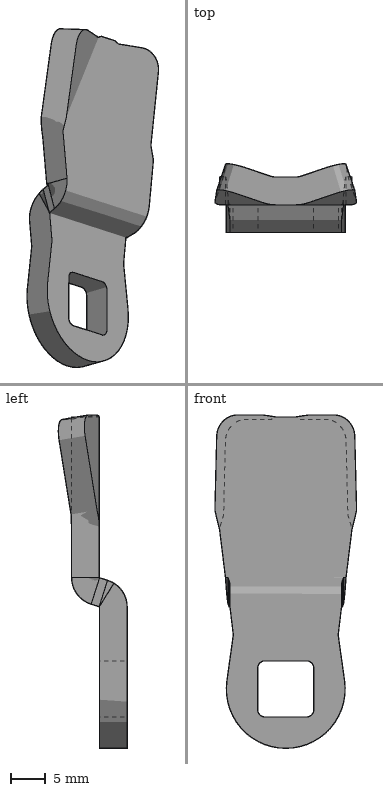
import cadquery as cq
import math

thickness = 4.0

eye_radius = 8.53
hole_side = 8.0
hole_corner_radius = 1.0
neck_half_width = 7.53
neck_z = 7.74
lower_bend_z = 11.72
lower_bend_half = 8.01

offset_angle = math.radians(72.4)
taper_end_angle = math.radians(58.0)
offset_inner_radius = 0.05
neutral_factor = 0.6
offset_stations = 9
trim_margin = 1.0

upper_bend_half = 8.66
side_slope = math.tan(math.radians(7.0))
plate_top_z = 39.0
wing_angle = math.radians(20.7)
wing_inner_radius = 1.1
wing_stations = 5
wing_line_lean = math.atan(0.5)
wing_half_width = 10.17
wing_bottom_z = 25.6
wing_top_z = 39.28
wing_top_half_width = 9.84
wing_corner_radius = 3.0

offset_outer_radius = offset_inner_radius + thickness
bend_radii = (offset_inner_radius, offset_outer_radius)
trim_radii = (offset_inner_radius / 2, offset_outer_radius + trim_margin)
axis_gap = offset_inner_radius + offset_outer_radius
web_length = (axis_gap * math.cos(offset_angle) - 2 * offset_inner_radius) / math.sin(offset_angle)
upper_bend_z = lower_bend_z + axis_gap * math.sin(offset_angle) + web_length * math.cos(offset_angle)
bend_length = offset_angle * (offset_inner_radius + neutral_factor * thickness)

web_high_half = upper_bend_half - bend_length * side_slope
web_low_half = web_high_half - web_length * side_slope

wing_outer_radius = wing_inner_radius + thickness
line_x, line_z = -math.sin(wing_line_lean), math.cos(wing_line_lean)
fold_slope = line_x / line_z
out_x, out_z = line_z, -line_x
strip_width = wing_outer_radius * math.sin(wing_angle)
fold_x = wing_half_width - strip_width * out_x
fold_z = wing_bottom_z - strip_width * out_z

fold_end_z = (fold_x - fold_z * fold_slope - upper_bend_half + upper_bend_z * side_slope) / (
    side_slope - fold_slope
)
fold_end_x = fold_x + (fold_end_z - fold_z) * fold_slope
fold_top_x = fold_x + (plate_top_z - fold_z) * fold_slope

wing_root_top_x = wing_half_width + (wing_top_z - wing_bottom_z) * fold_slope


def polygon(points):
    return cq.Wire.makePolygon([cq.Vector(*p) for p in points], close=True)


def lower_plate():
    distance = math.hypot(neck_half_width, neck_z)
    tangent_angle = math.atan2(neck_z, neck_half_width) - math.acos(eye_radius / distance)
    tangent_x = eye_radius * math.cos(tangent_angle)
    tangent_z = eye_radius * math.sin(tangent_angle)
    plate = (
        cq.Workplane("XZ")
        .moveTo(-lower_bend_half, lower_bend_z)
        .lineTo(-neck_half_width, neck_z)
        .lineTo(-tangent_x, tangent_z)
        .threePointArc((0, -eye_radius), (tangent_x, tangent_z))
        .lineTo(neck_half_width, neck_z)
        .lineTo(lower_bend_half, lower_bend_z)
        .close()
        .extrude(thickness)
    )
    hole = (
        cq.Workplane("XZ")
        .rect(hole_side, hole_side)
        .extrude(thickness)
        .edges("|Y")
        .fillet(hole_corner_radius)
    )
    return plate.cut(hole)


def upper_plate():
    return (
        cq.Workplane("XZ")
        .polyline(
            [
                (-upper_bend_half, upper_bend_z),
                (upper_bend_half, upper_bend_z),
                (fold_end_x, fold_end_z),
                (fold_top_x, plate_top_z),
                (-fold_top_x, plate_top_z),
                (-fold_end_x, fold_end_z),
            ]
        )
        .close()
        .extrude(-thickness)
    )


def bend_edge(axis_y, axis_z, side, radius, angle, half_width):
    """Ends of a straight line across a bend; side is +1 for the upper bend and -1 for the lower."""
    y = axis_y + side * radius * math.cos(angle)
    z = axis_z - side * radius * math.sin(angle)
    return [(-half_width, y, z), (half_width, y, z)]


def bend_section(axis_y, axis_z, side, angle, half_width, radii=bend_radii):
    """Rectangle across a bend, listed from its back edge to its front edge."""
    inner = bend_edge(axis_y, axis_z, side, radii[0], angle, half_width)
    outer = bend_edge(axis_y, axis_z, side, radii[1], angle, half_width)
    front, back = (inner, outer) if side > 0 else (outer, inner)
    return polygon(back + front[::-1])


def offset_bend(axis, start_angle, end_angle, start_half, end_half, radii=bend_radii):
    """Part of a bend whose width runs evenly from one angle to another."""
    sections = []
    for i in range(offset_stations):
        share = i / (offset_stations - 1)
        half_width = start_half + share * (end_half - start_half)
        angle = start_angle + share * (end_angle - start_angle)
        sections.append(bend_section(*axis, angle, half_width, radii))
    return cq.Workplane(cq.Solid.makeLoft(sections))


def lower_bend(axis):
    """Bend of one width, trimmed so that its sides run straight and then widen towards the web."""
    bend = offset_bend(axis, 0, offset_angle, web_low_half, web_low_half)
    straight = offset_bend(axis, 0, taper_end_angle, lower_bend_half, lower_bend_half, trim_radii)
    tapered = offset_bend(axis, taper_end_angle, offset_angle, lower_bend_half, web_low_half, trim_radii)
    return bend.intersect(straight.union(tapered))


def offset_step():
    """The two opposite bends and the sloping web between them."""
    upper_axis = (-offset_inner_radius, upper_bend_z, 1)
    lower_axis = (offset_inner_radius, lower_bend_z, -1)
    upper = offset_bend(upper_axis, 0, offset_angle, upper_bend_half, web_high_half)
    lower = lower_bend(lower_axis)
    web_ends = [
        bend_section(*upper_axis, offset_angle, web_high_half),
        bend_section(*lower_axis, offset_angle, web_low_half),
    ]
    web = cq.Workplane(cq.Solid.makeLoft(web_ends, True))
    return upper.union(web).union(lower)


def along_fold(x, z):
    """Position measured along the bend line from the fold point."""
    return (x - fold_x) * line_x + (z - fold_z) * line_z


def wing_point(along, angle, radius):
    """Point of the right-hand wing bend at a bend angle and a distance from its axis."""
    across = radius * math.sin(angle)
    return (
        fold_x + along * line_x + across * out_x,
        wing_outer_radius - radius * math.cos(angle),
        fold_z + along * line_z + across * out_z,
    )


def wing_bend():
    plate_low = along_fold(fold_end_x, fold_end_z)
    plate_high = along_fold(fold_top_x, plate_top_z)
    wing_low = along_fold(wing_half_width, wing_bottom_z)
    wing_high = along_fold(wing_root_top_x, wing_top_z)
    sections = []
    for i in range(wing_stations):
        share = i / (wing_stations - 1)
        angle = share * wing_angle
        low = plate_low + share * (wing_low - plate_low)
        high = plate_high + share * (wing_high - plate_high)
        sections.append(
            polygon(
                [
                    wing_point(low, angle, wing_outer_radius),
                    wing_point(high, angle, wing_outer_radius),
                    wing_point(high, angle, wing_inner_radius),
                    wing_point(low, angle, wing_inner_radius),
                ]
            )
        )
    return cq.Workplane(cq.Solid.makeLoft(sections))


def wing_panel():
    """Flat wing, drawn on its tilted front face and thickened square to it."""
    root = cq.Vector(*wing_point(0, wing_angle, wing_outer_radius))
    back = cq.Vector(
        -math.sin(wing_angle) * out_x,
        math.cos(wing_angle),
        -math.sin(wing_angle) * out_z,
    )
    plane = cq.Plane(origin=root, xDir=cq.Vector(line_x, 0, line_z), normal=back)
    outline = []
    for x, z in (
        (wing_half_width, wing_bottom_z),
        (wing_top_half_width, wing_top_z),
        (wing_root_top_x, wing_top_z),
    ):
        across = (x - root.x) * out_x + (z - root.z) * out_z
        y = root.y + across * math.tan(wing_angle)
        local = plane.toLocalCoords(cq.Vector(x, y, z))
        outline.append((local.x, local.y))
    panel = cq.Workplane(plane).polyline(outline).close().extrude(thickness)
    corner = cq.selectors.NearestToPointSelector((wing_top_half_width, wing_outer_radius, wing_top_z))
    return panel.edges(corner).fillet(wing_corner_radius)


right_wing = wing_bend().union(wing_panel())
left_wing = right_wing.mirror("YZ")
result = lower_plate().union(offset_step()).union(upper_plate()).union(right_wing).union(left_wing)